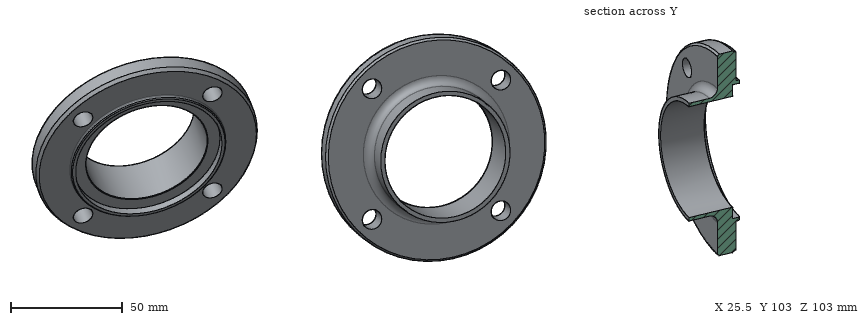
import cadquery as cq
import math

total_length = 25.5
flange_thickness = 9.5
raised_face_height = 1.8
flange_back_x = total_length - raised_face_height
flange_front_x = flange_back_x - flange_thickness

flange_diameter = 103.0
raised_face_diameter = 71.9
neck_diameter = 60.3
bore_diameter = 56.3

recess_depth = 3.4
recess_diameter = 68.0
recess_floor_x = total_length - recess_depth

neck_fillet_radius = 4.0
front_chamfer = 1.0
back_chamfer_length = 1.9
back_chamfer_depth = 1.0
raised_face_chamfer = 0.5
raised_face_root_fillet = 0.3
bore_mouth_chamfer = 0.3

bolt_hole_count = 4
bolt_hole_diameter = 9.0
bolt_circle_diameter = 85.0
first_bolt_angle = 45.0

quarter_arc_middle = math.sin(math.radians(45))


def revolved_body():
    """Neck, flange, raised face and bore as one profile turned about the X axis."""
    flange_radius = flange_diameter / 2
    raised_radius = raised_face_diameter / 2
    neck_radius = neck_diameter / 2
    bore_radius = bore_diameter / 2
    recess_radius = recess_diameter / 2

    neck_fillet_start_x = flange_front_x - neck_fillet_radius
    neck_fillet_end_radius = neck_radius + neck_fillet_radius
    neck_fillet_reach = neck_fillet_radius * quarter_arc_middle
    neck_fillet_middle = (
        neck_fillet_start_x + neck_fillet_reach,
        neck_fillet_end_radius - neck_fillet_reach,
    )

    root_fillet_end_x = flange_back_x + raised_face_root_fillet
    root_fillet_start_radius = raised_radius + raised_face_root_fillet
    root_fillet_reach = raised_face_root_fillet * quarter_arc_middle
    root_fillet_middle = (
        root_fillet_end_x - root_fillet_reach,
        root_fillet_start_radius - root_fillet_reach,
    )

    profile = (
        cq.Workplane("XY")
        .moveTo(0, bore_radius)
        .lineTo(0, neck_radius)
        .lineTo(neck_fillet_start_x, neck_radius)
        .threePointArc(neck_fillet_middle, (flange_front_x, neck_fillet_end_radius))
        .lineTo(flange_front_x, flange_radius - front_chamfer)
        .lineTo(flange_front_x + front_chamfer, flange_radius)
        .lineTo(flange_back_x - back_chamfer_length, flange_radius)
        .lineTo(flange_back_x, flange_radius - back_chamfer_depth)
        .lineTo(flange_back_x, root_fillet_start_radius)
        .threePointArc(root_fillet_middle, (root_fillet_end_x, raised_radius))
        .lineTo(total_length - raised_face_chamfer, raised_radius)
        .lineTo(total_length, raised_radius - raised_face_chamfer)
        .lineTo(total_length, recess_radius)
        .lineTo(recess_floor_x, recess_radius)
        .lineTo(recess_floor_x, bore_radius + bore_mouth_chamfer)
        .lineTo(recess_floor_x - bore_mouth_chamfer, bore_radius)
        .close()
    )
    return profile.revolve(360, (0, 0, 0), (1, 0, 0))


def bolt_holes():
    """Through-hole cutters spaced evenly on the bolt circle."""
    return (
        cq.Workplane("YZ")
        .polarArray(bolt_circle_diameter / 2, first_bolt_angle, 360, bolt_hole_count)
        .circle(bolt_hole_diameter / 2)
        .extrude(total_length)
    )


result = revolved_body().cut(bolt_holes())